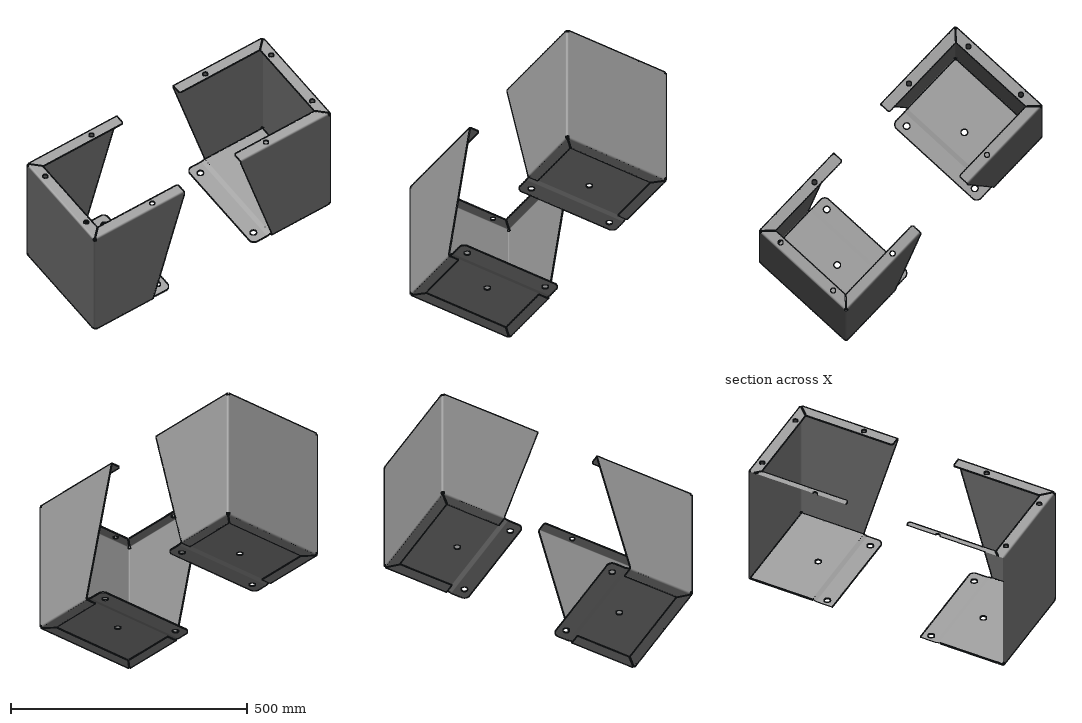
import cadquery as cq

WIDTH = 254.0
OVERALL_LENGTH = 609.5
HEIGHT = 305.0
BACK_Y = -OVERALL_LENGTH / 2

THICKNESS = 2.7
BEND_RADIUS = 4.0
INNER_BEND_RADIUS = BEND_RADIUS - THICKNESS

TOP_DEPTH = 232.0
FOOT_DEPTH = 152.5
TAPER_TOP_DROP = 7.5
TAPER_FOOT_RISE = 6.0
FLANGE_WIDTH = 25.5
FLANGE_CORNER_RADIUS = 5.0
MITRE_GAP = 2.5
CORNER_RELIEF = 5.5

FLANGE_HOLE_DIAMETER = 11.0
FLANGE_HOLE_INSET = 14.0
BACK_HOLE_X = 76.0
SIDE_HOLE_DEPTH = 158.5

PLATE_WIDTH = WIDTH - 2 * BEND_RADIUS
STEP_CLEARANCE = 0.5
STEP_START_DEPTH = FOOT_DEPTH + STEP_CLEARANCE
STEP_LENGTH = 10.0
TAB_END_DEPTH = 200.0
TAB_CORNER_RADIUS = 12.0
PLATE_HOLE_DIAMETER = 14.0
CENTRE_HOLE_DEPTH = 108.0
TAB_HOLE_DEPTH = 181.0
TAB_HOLE_X = 99.0


def hollow_channel():
    """Closed-back rectangular channel with every wall bend rounded, open towards +Y."""
    outer = (
        cq.Workplane("XY")
        .box(WIDTH, TOP_DEPTH, HEIGHT, centered=(True, False, False))
        .translate((0, BACK_Y, 0))
        .edges("<Y or (|Y and (<X or >X))")
        .fillet(BEND_RADIUS)
    )
    inner = (
        cq.Workplane("XY")
        .box(
            WIDTH - 2 * THICKNESS, TOP_DEPTH, HEIGHT - 2 * THICKNESS,
            centered=(True, False, False),
        )
        .translate((0, BACK_Y + THICKNESS, THICKNESS))
        .edges("<Y or (|Y and (<X or >X))")
        .fillet(INNER_BEND_RADIUS)
    )
    return outer.cut(inner)


def flange_opening():
    """Cutter that opens the top and bottom, leaving the flanges."""
    return (
        cq.Workplane("XY")
        .box(WIDTH - 2 * FLANGE_WIDTH, TOP_DEPTH, HEIGHT, centered=(True, False, False))
        .translate((0, BACK_Y + FLANGE_WIDTH, 0))
    )


def taper_cutter():
    """Prism across X that removes everything in front of the tapered side edges."""
    top_y = BACK_Y + TOP_DEPTH
    foot_y = BACK_Y + FOOT_DEPTH
    return (
        cq.Workplane("YZ")
        .moveTo(foot_y, 0)
        .lineTo(foot_y, TAPER_FOOT_RISE)
        .lineTo(top_y, HEIGHT - TAPER_TOP_DROP)
        .lineTo(top_y, 0)
        .close()
        .extrude(WIDTH / 2, both=True)
    )


def mitre_cutters():
    """Diagonal slots between neighbouring flanges, with a square relief at each bend corner."""
    slot_length = 2 * FLANGE_WIDTH
    cutters = []
    for side in (-1, 1):
        corner_x = side * WIDTH / 2
        for level in (0, HEIGHT):
            slot = (
                cq.Workplane("XY")
                .box(2 * slot_length, MITRE_GAP, 2 * BEND_RADIUS)
                .rotate((0, 0, 0), (0, 0, 1), -45 * side)
                .translate((corner_x, BACK_Y, level))
            )
            relief = (
                cq.Workplane("XY")
                .box(2 * CORNER_RELIEF, 2 * CORNER_RELIEF, 2 * CORNER_RELIEF)
                .translate((corner_x, BACK_Y, level))
            )
            cutters += [slot, relief]
    return cutters


def flange_holes():
    """Cutters for the four holes in the top flanges."""
    back_y = BACK_Y + FLANGE_HOLE_INSET
    side_x = WIDTH / 2 - FLANGE_HOLE_INSET
    side_y = BACK_Y + SIDE_HOLE_DEPTH
    points = [(-BACK_HOLE_X, back_y), (BACK_HOLE_X, back_y), (-side_x, side_y), (side_x, side_y)]
    return (
        cq.Workplane("XY", origin=(0, 0, HEIGHT - THICKNESS))
        .pushPoints(points)
        .circle(FLANGE_HOLE_DIAMETER / 2)
        .extrude(THICKNESS)
    )


def make_shell():
    """One bent shell standing at the -Y end."""
    shell = hollow_channel().cut(flange_opening()).cut(taper_cutter())
    inner_x = WIDTH / 2 - FLANGE_WIDTH
    for x in (-inner_x, inner_x):
        corner = (x, BACK_Y + TOP_DEPTH, HEIGHT - THICKNESS / 2)
        shell = shell.edges(cq.NearestToPointSelector(corner)).fillet(FLANGE_CORNER_RADIUS)
    for cutter in mitre_cutters():
        shell = shell.cut(cutter)
    return shell.cut(flange_holes())


def make_base_plate():
    """Plate inside the -Y shell, bent down to a tab that lies on the floor."""
    rear_y = BACK_Y + BEND_RADIUS
    step_start_y = BACK_Y + STEP_START_DEPTH
    step_end_y = step_start_y + STEP_LENGTH
    tab_end_y = BACK_Y + TAB_END_DEPTH
    plate = (
        cq.Workplane("YZ")
        .moveTo(rear_y, THICKNESS)
        .lineTo(step_start_y, THICKNESS)
        .lineTo(step_end_y, 0)
        .lineTo(tab_end_y, 0)
        .lineTo(tab_end_y, THICKNESS)
        .lineTo(step_end_y, THICKNESS)
        .lineTo(step_start_y, 2 * THICKNESS)
        .lineTo(rear_y, 2 * THICKNESS)
        .close()
        .extrude(PLATE_WIDTH / 2, both=True)
        .edges("|Z and >Y")
        .fillet(TAB_CORNER_RADIUS)
    )
    outer_bends = [(step_start_y, 2 * THICKNESS), (step_end_y, 0)]
    inner_bends = [(step_start_y, THICKNESS), (step_end_y, THICKNESS)]
    for bends, radius in ((outer_bends, BEND_RADIUS), (inner_bends, INNER_BEND_RADIUS)):
        for y, z in bends:
            plate = plate.edges(cq.NearestToPointSelector((0, y, z))).fillet(radius)
    tab_hole_y = BACK_Y + TAB_HOLE_DEPTH
    holes = (
        cq.Workplane("XY")
        .pushPoints([(0, BACK_Y + CENTRE_HOLE_DEPTH), (-TAB_HOLE_X, tab_hole_y), (TAB_HOLE_X, tab_hole_y)])
        .circle(PLATE_HOLE_DIAMETER / 2)
        .extrude(2 * THICKNESS)
    )
    return plate.cut(holes)


bodies = []
for turn in (0, 180):
    for body in (make_shell(), make_base_plate()):
        bodies.append(body.rotate((0, 0, 0), (0, 0, 1), turn).val())

result = cq.Compound.makeCompound(bodies)